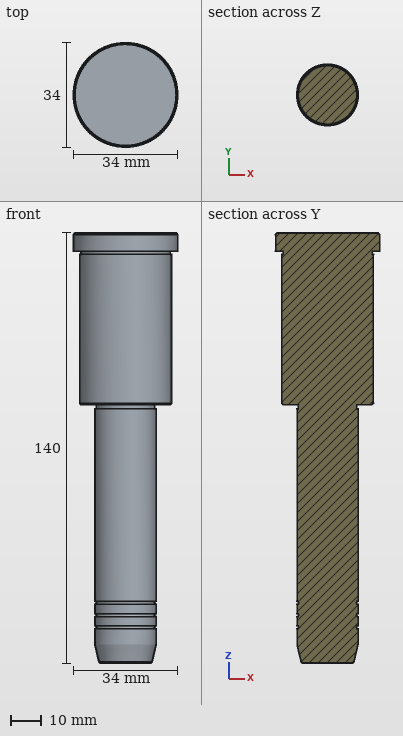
import cadquery as cq

total_length = 140.0
head_radius = 34.0 / 2
body_radius = 30.0 / 2
pin_radius = 20.0 / 2

head_height = 6.0
head_and_body_length = 56.0
tip_height = 6.0

head_chamfer = 0.5
body_chamfer = 0.5
undercut_depth = 0.4
body_undercut_width = 1.0
pin_undercut_width = 1.3

tip_radius = 8.7
tip_chamfer = 0.4

groove_count = 3
lowest_groove_height = 11.6
highest_groove_height = 19.6
groove_pitch = (highest_groove_height - lowest_groove_height) / (groove_count - 1)
groove_radius = 0.5

head_bottom = total_length - head_height
body_bottom = total_length - head_and_body_length


def ring_cut(radius, bottom, width, depth):
    """Ring that removes a rectangular groove from a cylinder of the given radius."""
    return (
        cq.Workplane("XY", origin=(0, 0, bottom))
        .circle(radius + depth)
        .circle(radius - depth)
        .extrude(width)
    )


def make_head():
    head = cq.Workplane("XY", origin=(0, 0, head_bottom)).circle(head_radius).extrude(head_height)
    return head.faces(">Z").chamfer(head_chamfer)


def make_body():
    body = cq.Workplane("XY", origin=(0, 0, body_bottom)).circle(body_radius)
    body = body.extrude(head_bottom - body_bottom).faces("<Z").chamfer(body_chamfer)
    undercut_bottom = head_bottom - body_undercut_width
    return body.cut(ring_cut(body_radius, undercut_bottom, body_undercut_width, undercut_depth))


def make_pin():
    pin = (
        cq.Workplane("XZ")
        .lineTo(tip_radius - tip_chamfer, 0)
        .lineTo(tip_radius, tip_chamfer)
        .lineTo(pin_radius, tip_height)
        .lineTo(pin_radius, body_bottom)
        .lineTo(0, body_bottom)
        .close()
        .revolve(360, (0, 0, 0), (0, 1, 0))
    )
    undercut_bottom = body_bottom - pin_undercut_width
    pin = pin.cut(ring_cut(pin_radius, undercut_bottom, pin_undercut_width, undercut_depth))
    for index in range(groove_count):
        groove_height = lowest_groove_height + index * groove_pitch
        groove_center = cq.Vector(0, 0, groove_height)
        pin = pin.cut(cq.Solid.makeTorus(pin_radius, groove_radius, groove_center))
    return pin


result = make_head().union(make_body()).union(make_pin())